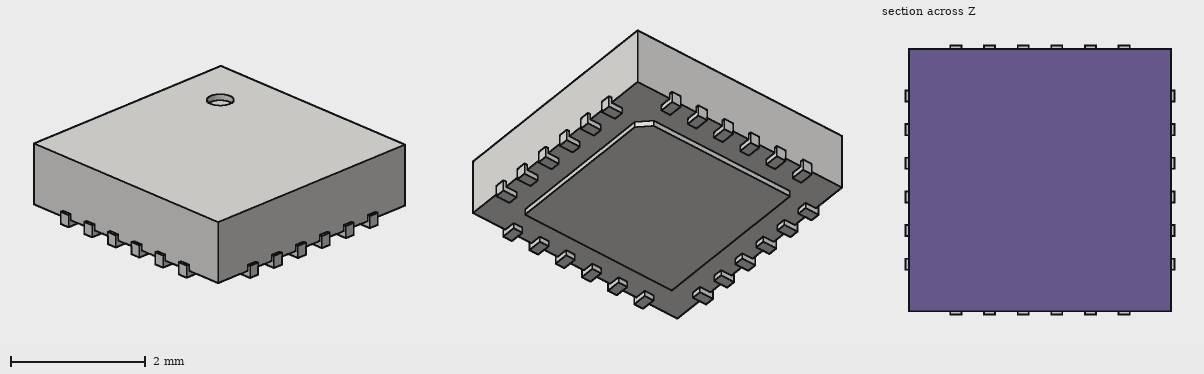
import cadquery as cq

overall_width = 4.0
body_width = 3.9
body_height = 1.0
standoff = 0.1

pins_per_side = 6
pin_pitch = 0.5
pin_width = 0.17
pin_height = 0.2
pin_reach_under_body = 0.2

central_pad_width = 2.8
pad_corner_chamfer = 0.2

mark_diameter = 0.4
mark_depth = 0.1
mark_offset = 1.1

pin_overhang = (overall_width - body_width) / 2
pin_length = pin_overhang + pin_reach_under_body
body_top = standoff + body_height


def block(size_x, size_y, height, bottom):
    """Box centred on the Z axis, standing on the given level."""
    return (
        cq.Workplane("XY")
        .workplane(offset=bottom)
        .rect(size_x, size_y)
        .extrude(height)
    )


def pin_row():
    """Terminals along the -Y side, flush with the underside."""
    row_length = (pins_per_side - 1) * pin_pitch
    row_y = (pin_length - overall_width) / 2
    centres = [(i * pin_pitch - row_length / 2, row_y) for i in range(pins_per_side)]
    return (
        cq.Workplane("XY")
        .pushPoints(centres)
        .rect(pin_width, pin_length)
        .extrude(pin_height)
    )


def pin_one_mark():
    """Shallow round recess in the top face."""
    return (
        cq.Workplane("XY")
        .workplane(offset=body_top - mark_depth)
        .center(-mark_offset, mark_offset)
        .circle(mark_diameter / 2)
        .extrude(mark_depth)
    )


body = block(body_width, body_width, body_height, standoff).cut(pin_one_mark())
central_pad = block(central_pad_width, central_pad_width, standoff, 0)
central_pad = central_pad.edges("|Z").edges("<X").edges(">Y").chamfer(pad_corner_chamfer)

result = body.union(central_pad)
for side_angle in (0, 90, 180, 270):
    result = result.union(pin_row().rotate((0, 0, 0), (0, 0, 1), side_angle))